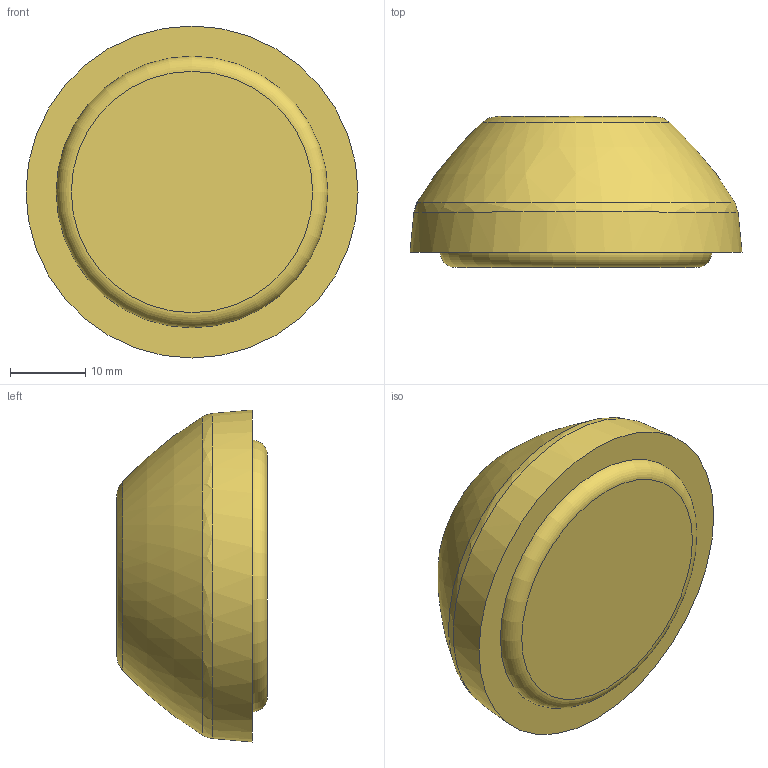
import cadquery as cq
import math

rim_radius = 22.0
rim_height = 6.0
rim_draft_degrees = 5.0

body_height = 18.0
back_radius = 11.6
dome_side_radius = 50.0
edge_fillet = 3.0

pad_radius = 18.0
pad_height = 2.0


def bulged_midpoint(start, end, radius):
    """Middle of the arc of the given radius, bulging away from the axis."""
    run = end[0] - start[0]
    rise = end[1] - start[1]
    chord = math.hypot(run, rise)
    sagitta = radius - math.sqrt(radius**2 - (chord / 2) ** 2)
    return (
        (start[0] + end[0]) / 2 + sagitta * rise / chord,
        (start[1] + end[1]) / 2 - sagitta * run / chord,
    )


def make_body():
    """Tapered rim and dome turned about the Y axis, front face at Y = 0."""
    rim_taper = rim_height * math.tan(math.radians(rim_draft_degrees))
    rim_back = (rim_radius - rim_taper, rim_height)
    dome_back = (back_radius, body_height)
    body = (
        cq.Workplane("ZY")
        .lineTo(rim_radius, 0)
        .lineTo(*rim_back)
        .threePointArc(bulged_midpoint(rim_back, dome_back, dome_side_radius), dome_back)
        .lineTo(0, body_height)
        .close()
        .revolve(360, (0, 0, 0), (0, 1, 0))
    )
    back_edge = body.faces(">Y").edges()
    rim_edge = body.faces("%CONE").edges("%CIRCLE").edges(">Y")
    dome_edges = back_edge.add(rim_edge)
    return dome_edges.fillet(edge_fillet)


def make_pad():
    """Disc on the front face, its edge rounded by a quarter circle."""
    flat_radius = pad_radius - pad_height
    diagonal = pad_height * math.sqrt(0.5)
    return (
        cq.Workplane("ZY")
        .lineTo(pad_radius, 0)
        .threePointArc((flat_radius + diagonal, -diagonal), (flat_radius, -pad_height))
        .lineTo(0, -pad_height)
        .close()
        .revolve(360, (0, 0, 0), (0, 1, 0))
    )


result = make_body().union(make_pad())